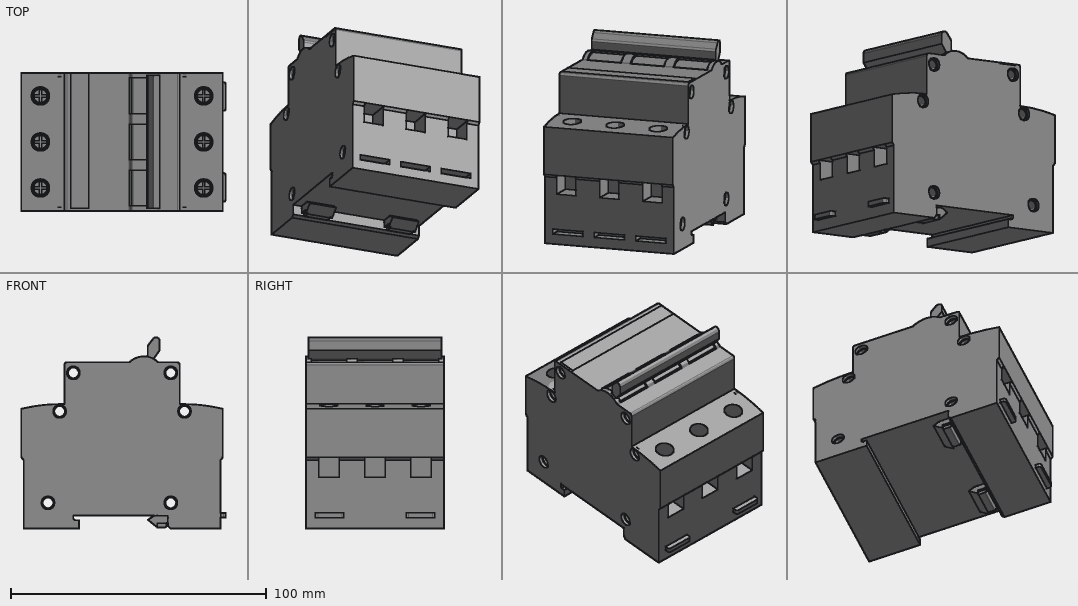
import cadquery as cq
import math

pole_pitch = 18.0
poles = 3
width = pole_pitch * poles
half_width = width / 2


def pole_row(pitch):
    """Y places of a row with one feature per pole, centred on Y = 0."""
    return [(i - (poles - 1) / 2) * pitch for i in range(poles)]


pole_ys = pole_row(pole_pitch)

overall_depth = 80.0
half_depth = 39.4
base_inset = 1.0
base_half_depth = half_depth - base_inset
step_top_z = 27.8
step_height = 1.1
step_bottom_z = step_top_z - step_height
shoulder_edge_z = 46.9
shoulder_top_z = 48.8
tower_half_depth = 22.6
tower_top_z = 65.0
tower_corner_radius = 1.0

slot_ceiling_z = 5.0
slot_left_x = -16.8
slot_right_x = 17.9
hook_depth = 2.2
hook_z = 3.9
hook_bevel = 0.6
slot_corner = 1.0

rivet_places = [(-19.0, 60.9), (19.0, 60.9), (-24.4, 45.8), (24.4, 45.8), (-29.0, 10.1), (19.0, 10.1)]
rivet_radius = 2.1
rivet_recess_radius = 2.6
rivet_recess_depth = 1.5

terminal_x = 31.9
terminal_radius = 3.5
terminal_floor_z = 38.4
screw_radius = 3.2
screw_top_radius = 2.7
screw_height = 0.8
screw_bevel_height = 0.6
cross_length = 5.0
cross_width = 0.9
cross_depth = 0.6
window_width = 8.1
window_bottom_z = 20.1
window_depth = 9.6

vent_pitch = 17.4
vent_width = 12.6
vent_bottom_z = 4.0
vent_height = 2.0
vent_depth = 4.8

label_x = -20.0
label_depth_x = 7.0
label_end_margin = 1.0
label_thickness = 0.5

axis_x = 8.5
rib_radius = 8.0
arch_height = 2.3
axis_z = tower_top_z + arch_height - rib_radius
arch_half_chord = math.sqrt(rib_radius**2 - (rib_radius - arch_height)**2)
drum_gap = 0.6
drum_radius = rib_radius - drum_gap
drum_width = 14.0
drum_recess_depth = 0.2
arch_foot_radius = 0.4
lever_width = 52.0
lever_root_depth = 1.6
lever_front_x = 10.0
lever_back_x = 14.7
lever_root_back_x = 11.2
lever_top_z = 74.8
foot_flare = 0.3
foot_flare_z = 67.7
front_vertical_top_z = 71.0
front_slope_start = (10.3, 71.9)
front_slope_end = (12.0, 74.1)
lever_crest_x = 13.4
back_round_z = 73.4
back_vertical_bottom_z = 69.7
back_neck = (12.4, 66.4)

clip_ys = (-17.8, 17.8)
clip_width = 11.3
tab_end_x = overall_depth - half_depth
tab_corner_radius = 1.0
bar_bottom_z = 4.3
bar_top_z = 6.2
jaw_tip_x = 10.1
jaw_tip_z = 3.4
jaw_top_x = 12.4
jaw_toe_x = 13.8
jaw_bottom_z = 0.4
lug_top_z = 2.2
lug_end_x = 17.4
lug_corner_radius = 1.0
lug_side_inset = 0.8


def extrude_across(sketch, y_center, length):
    """Extrude an XZ sketch by length along Y, centred on y_center."""
    return sketch.extrude(length / 2, both=True).translate((0, y_center, 0))


def box_between(x0, x1, y_center, y_size, z0, z1):
    """Box from x0 to x1 and z0 to z1, centred on y_center."""
    return (
        cq.Workplane("XY")
        .box(x1 - x0, y_size, z1 - z0, centered=(False, True, False))
        .translate((x0, y_center, z0))
    )


def axis_cylinder(radius, y_center, length):
    """Cylinder on the handle axis."""
    return extrude_across(cq.Workplane("XZ").center(axis_x, axis_z).circle(radius), y_center, length)


def crown_middle(side):
    """Middle point of the shoulder arc, which is level where it meets the tower."""
    run = half_depth - tower_half_depth
    drop = shoulder_top_z - shoulder_edge_z
    radius = (run**2 + drop**2) / (2 * drop)
    half_angle = math.asin(run / radius) / 2
    x = tower_half_depth + radius * math.sin(half_angle)
    z = shoulder_top_z - radius * (1 - math.cos(half_angle))
    return side * x, z


def housing_block():
    profile = (
        cq.Workplane("XZ")
        .moveTo(-base_half_depth, 0)
        .lineTo(-base_half_depth, step_bottom_z)
        .lineTo(-half_depth, step_top_z)
        .lineTo(-half_depth, shoulder_edge_z)
        .threePointArc(crown_middle(-1), (-tower_half_depth, shoulder_top_z))
        .lineTo(-tower_half_depth, tower_top_z)
        .lineTo(tower_half_depth, tower_top_z)
        .lineTo(tower_half_depth, shoulder_top_z)
        .threePointArc(crown_middle(1), (half_depth, shoulder_edge_z))
        .lineTo(half_depth, step_top_z)
        .lineTo(base_half_depth, step_bottom_z)
        .lineTo(base_half_depth, 0)
        .lineTo(slot_right_x + slot_corner, 0)
        .lineTo(slot_right_x, slot_corner)
        .lineTo(slot_right_x, slot_ceiling_z)
        .lineTo(slot_left_x - hook_depth, slot_ceiling_z)
        .lineTo(slot_left_x - hook_depth, hook_z)
        .lineTo(slot_left_x - hook_depth + hook_bevel, hook_z - hook_bevel)
        .lineTo(slot_left_x, hook_z - hook_bevel)
        .lineTo(slot_left_x, 0)
        .close()
    )
    block = extrude_across(profile, 0, width)
    return block.faces(">Z").edges("|Y").fillet(tower_corner_radius)


def terminal_screw(x, y):
    """Cross-slotted screw head standing on the floor of a terminal hole."""
    head = (
        cq.Workplane("XY")
        .circle(screw_radius)
        .extrude(screw_height)
        .faces(">Z")
        .chamfer(screw_bevel_height, screw_radius - screw_top_radius)
    )
    for size_x, size_y in [(cross_length, cross_width), (cross_width, cross_length)]:
        slot = cq.Workplane("XY").box(size_x, size_y, cross_depth, centered=(True, True, False))
        head = head.cut(slot.translate((0, 0, screw_height - cross_depth)))
    return head.translate((x, y, terminal_floor_z))


def add_terminals(body):
    for side in (-1, 1):
        x = side * terminal_x
        window_xs = sorted((side * half_depth, side * (base_half_depth - window_depth)))
        for y in pole_ys:
            hole = cq.Workplane("XY").circle(terminal_radius).extrude(shoulder_top_z - terminal_floor_z)
            body = body.cut(hole.translate((x, y, terminal_floor_z)))
            body = body.union(terminal_screw(x, y))
            body = body.cut(box_between(*window_xs, y, window_width, window_bottom_z, step_top_z))
    return body


def cut_vents(body):
    for y in pole_row(vent_pitch):
        vent = box_between(
            -base_half_depth, -base_half_depth + vent_depth,
            y, vent_width,
            vent_bottom_z, vent_bottom_z + vent_height,
        )
        body = body.cut(vent)
    return body


def cut_rivet_holes(body):
    recess_y = half_width - rivet_recess_depth / 2
    for x, z in rivet_places:
        body = body.cut(extrude_across(cq.Workplane("XZ").center(x, z).circle(rivet_radius), 0, width))
        for y in (-recess_y, recess_y):
            circle = cq.Workplane("XZ").center(x, z).circle(rivet_recess_radius)
            body = body.cut(extrude_across(circle, y, rivet_recess_depth))
    return body


def add_handle_seat(body):
    """Arched ribs along the handle axis, with a bore and a shallow recess for each drum."""
    body = body.union(axis_cylinder(rib_radius, 0, width))
    for side in (-1, 1):
        foot = (axis_x + side * arch_half_chord, 0, tower_top_z)
        body = body.edges("|Y").edges(cq.selectors.NearestToPointSelector(foot)).fillet(arch_foot_radius)
    for y in pole_ys:
        opening = box_between(
            axis_x - arch_half_chord, axis_x + arch_half_chord,
            y, drum_width,
            tower_top_z - drum_recess_depth, tower_top_z + arch_height,
        )
        body = body.cut(opening).cut(axis_cylinder(drum_radius, y, drum_width))
    return body


def make_label():
    length = width - label_end_margin
    return box_between(
        label_x, label_x + label_depth_x,
        label_end_margin / 2, length,
        tower_top_z - label_thickness, tower_top_z,
    )


def make_handle():
    neck_z = axis_z + drum_radius - lever_root_depth
    lever_profile = (
        cq.Workplane("XZ")
        .moveTo(lever_front_x - foot_flare, neck_z)
        .lineTo(lever_front_x - foot_flare, foot_flare_z - foot_flare)
        .lineTo(lever_front_x, foot_flare_z)
        .lineTo(lever_front_x, front_vertical_top_z)
        .tangentArcPoint(front_slope_start, relative=False)
        .lineTo(*front_slope_end)
        .threePointArc((lever_crest_x, lever_top_z), (lever_back_x, back_round_z))
        .lineTo(lever_back_x, back_vertical_bottom_z)
        .lineTo(*back_neck)
        .lineTo(lever_root_back_x, neck_z)
        .close()
    )
    lever = extrude_across(lever_profile, 0, lever_width)
    handle = lever.cut(axis_cylinder(rib_radius, 0, width))
    for y in pole_ys:
        stem = lever.intersect(axis_cylinder(rib_radius, y, drum_width))
        handle = handle.union(stem)
        handle = handle.union(axis_cylinder(drum_radius, y, drum_width))
    return handle


def clip_bar(y):
    """Sliding bar with a pull tab outside the +X face."""
    return box_between(jaw_toe_x, tab_end_x, y, clip_width, bar_bottom_z, bar_top_z)


def make_clip(y):
    jaw_profile = (
        cq.Workplane("XZ")
        .moveTo(jaw_tip_x, jaw_tip_z)
        .lineTo(jaw_top_x, slot_ceiling_z)
        .lineTo(slot_right_x, slot_ceiling_z)
        .lineTo(slot_right_x, lug_top_z)
        .lineTo(jaw_toe_x, lug_top_z)
        .lineTo(jaw_toe_x, jaw_bottom_z)
        .close()
    )
    lug = box_between(
        jaw_toe_x, lug_end_x, y, clip_width - 2 * lug_side_inset, jaw_bottom_z, lug_top_z
    )
    lug = lug.edges("|Y and >X and <Z").fillet(lug_corner_radius)
    bar = clip_bar(y).edges("|Z and >X").fillet(tab_corner_radius)
    return extrude_across(jaw_profile, y, clip_width).union(lug).union(bar)


handle = make_handle()
label = make_label()
clips = [make_clip(y) for y in clip_ys]

housing = add_handle_seat(housing_block())
housing = add_terminals(housing)
housing = cut_vents(housing)
housing = cut_rivet_holes(housing)
housing = housing.cut(label)
for y in clip_ys:
    housing = housing.cut(clip_bar(y))

clip_solids = [clip.val() for clip in clips]
result = cq.Compound.makeCompound([housing.val(), label.val(), handle.val(), *clip_solids])